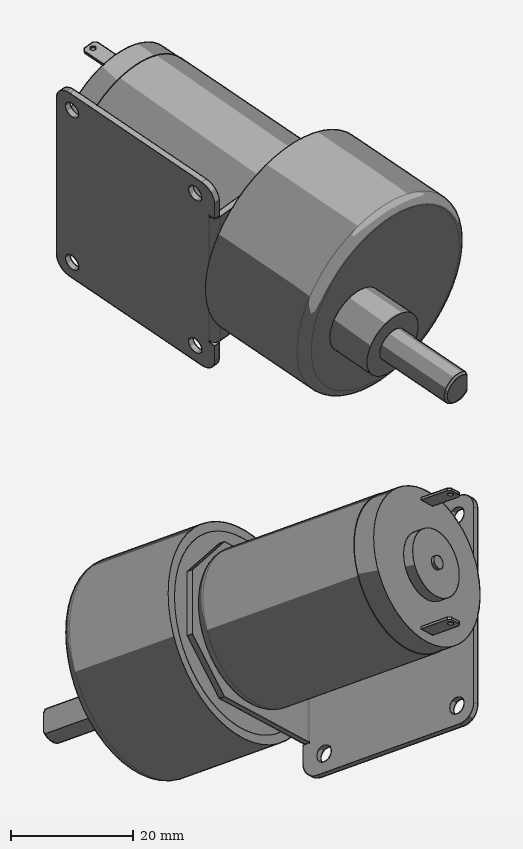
import cadquery as cq

GEARBOX_RADIUS = 19.0
GEARBOX_LENGTH = 22.5
GEARBOX_EDGE_FILLET = 1.6
COVER_RADIUS = 17.4
COVER_THICKNESS = 1.6
BOSS_RADIUS = 6.0
BOSS_LENGTH = 8.5

SHAFT_OFFSET_Y = -7.0
SHAFT_RADIUS = 3.0
SHAFT_EXPOSED_LENGTH = 15.0
SHAFT_ROUND_LENGTH = 3.0
SHAFT_FLAT_HEIGHT = 2.0
SHAFT_TIP_CHAMFER = 0.4

SHEET_THICKNESS = 1.1
BEND_RADIUS = 1.3
FLANGE_HALF_SIZE = 14.1
PLATE_OUTER_Y = -16.8
PLATE_LENGTH = 36.0
PLATE_HEIGHT = 41.6
PLATE_CORNER_RADIUS = 3.0
RELIEF_WIDTH = 0.3
HOLE_DIAMETER = 3.0
HOLE_EDGE_DISTANCE = 3.55
HOLE_SPACING_X = 28.0
HOLE_SPACING_Z = 34.6

MOTOR_REAR_X = -39.0
CAN_RADIUS = 13.8
CAN_FILLET = 2.0
CAP_RADIUS = 13.7
CAP_LENGTH = 4.1
HUB_RADIUS = 6.0
HUB_LENGTH = 1.9
SPINDLE_RADIUS = 1.2
SPINDLE_LENGTH = 0.55
TERMINAL_LENGTH = 6.0
TERMINAL_WIDTH = 3.0
TERMINAL_THICKNESS = 0.5
TERMINAL_OFFSET_Z = 11.7
TERMINAL_CHAMFER = 0.5
TERMINAL_HOLE_DIAMETER = 1.0
TERMINAL_HOLE_FROM_TIP = 1.0


def cylinder_x(start, length, radius, y=0):
    """A cylinder along +X starting at X = start."""
    return cq.Workplane("YZ", origin=(start, y, 0)).circle(radius).extrude(length)


def box(x_range, y_range, z_range):
    """A box between the given limits on each axis."""
    lows, highs = zip(x_range, y_range, z_range)
    size = [high - low for low, high in zip(lows, highs)]
    return cq.Workplane().box(*size, centered=False).translate(lows)


def make_housing():
    body = cylinder_x(0, GEARBOX_LENGTH, GEARBOX_RADIUS).faces(">X").edges().fillet(GEARBOX_EDGE_FILLET)
    body = body.union(cylinder_x(GEARBOX_LENGTH, BOSS_LENGTH, BOSS_RADIUS, SHAFT_OFFSET_Y))
    body = body.cut(cylinder_x(0, COVER_THICKNESS, COVER_RADIUS))
    bore_length = GEARBOX_LENGTH + BOSS_LENGTH
    return body.cut(cylinder_x(COVER_THICKNESS, bore_length, SHAFT_RADIUS, SHAFT_OFFSET_Y))


def make_cover():
    return cylinder_x(0, COVER_THICKNESS, COVER_RADIUS)


def make_shaft():
    boss_end = GEARBOX_LENGTH + BOSS_LENGTH
    tip = boss_end + SHAFT_EXPOSED_LENGTH
    shaft = cylinder_x(COVER_THICKNESS, tip - COVER_THICKNESS, SHAFT_RADIUS, SHAFT_OFFSET_Y)
    shaft = shaft.faces(">X").edges().chamfer(SHAFT_TIP_CHAMFER)
    flat = box(
        (boss_end + SHAFT_ROUND_LENGTH, tip),
        (SHAFT_OFFSET_Y + SHAFT_FLAT_HEIGHT, SHAFT_OFFSET_Y + SHAFT_RADIUS),
        (-SHAFT_RADIUS, SHAFT_RADIUS),
    )
    return shaft.cut(flat)


def make_flange_and_bend():
    """The octagonal-ended flange, joined to a bent strip that reaches the mounting plate."""
    corner = FLANGE_HALF_SIZE * (2**0.5 - 1)
    flange = (
        cq.Workplane("YZ", origin=(-SHEET_THICKNESS, 0, 0))
        .moveTo(PLATE_OUTER_Y + BEND_RADIUS, -FLANGE_HALF_SIZE)
        .lineTo(corner, -FLANGE_HALF_SIZE)
        .lineTo(FLANGE_HALF_SIZE, -corner)
        .lineTo(FLANGE_HALF_SIZE, corner)
        .lineTo(corner, FLANGE_HALF_SIZE)
        .lineTo(PLATE_OUTER_Y + BEND_RADIUS, FLANGE_HALF_SIZE)
        .close()
        .extrude(SHEET_THICKNESS)
    )
    bend_center = (-BEND_RADIUS, PLATE_OUTER_Y + BEND_RADIUS)
    bend_block = box(
        (-BEND_RADIUS, 0),
        (PLATE_OUTER_Y, PLATE_OUTER_Y + BEND_RADIUS),
        (-FLANGE_HALF_SIZE, FLANGE_HALF_SIZE),
    )
    ring = (
        cq.Workplane("XY", origin=(*bend_center, -FLANGE_HALF_SIZE))
        .circle(BEND_RADIUS)
        .circle(BEND_RADIUS - SHEET_THICKNESS)
        .extrude(2 * FLANGE_HALF_SIZE)
    )
    return flange.union(ring.intersect(bend_block))


def make_bracket():
    plate_y = (PLATE_OUTER_Y, PLATE_OUTER_Y + SHEET_THICKNESS)
    half_height = PLATE_HEIGHT / 2
    plate = box((-PLATE_LENGTH, 0), plate_y, (-half_height, half_height))
    plate = plate.edges("|Y").fillet(PLATE_CORNER_RADIUS)

    notch_half_height = FLANGE_HALF_SIZE + RELIEF_WIDTH
    plate = plate.cut(box((-BEND_RADIUS, 0), plate_y, (-notch_half_height, notch_half_height)))

    first_hole_x = HOLE_EDGE_DISTANCE - PLATE_LENGTH
    for x in (first_hole_x, first_hole_x + HOLE_SPACING_X):
        for z in (-HOLE_SPACING_Z / 2, HOLE_SPACING_Z / 2):
            hole = cq.Workplane("XZ", origin=(x, 0, z)).circle(HOLE_DIAMETER / 2).extrude(-PLATE_OUTER_Y)
            plate = plate.cut(hole)
    return plate.union(make_flange_and_bend())


def make_terminal(z):
    tip_x = MOTOR_REAR_X - TERMINAL_LENGTH
    blade = box(
        (tip_x, MOTOR_REAR_X),
        (-TERMINAL_WIDTH / 2, TERMINAL_WIDTH / 2),
        (-TERMINAL_THICKNESS / 2, TERMINAL_THICKNESS / 2),
    )
    blade = blade.faces("<X").edges("|Z").chamfer(TERMINAL_CHAMFER)
    hole = (
        cq.Workplane("XY", origin=(tip_x + TERMINAL_HOLE_FROM_TIP, 0, 0))
        .circle(TERMINAL_HOLE_DIAMETER / 2)
        .extrude(TERMINAL_THICKNESS, both=True)
    )
    return blade.cut(hole).translate((0, 0, z))


def make_motor():
    can_start = MOTOR_REAR_X + CAP_LENGTH
    can = cylinder_x(can_start, -SHEET_THICKNESS - can_start, CAN_RADIUS)
    can = can.faces(">X").edges().fillet(CAN_FILLET)
    motor = can.union(cylinder_x(MOTOR_REAR_X, CAP_LENGTH, CAP_RADIUS))
    motor = motor.union(cylinder_x(MOTOR_REAR_X - HUB_LENGTH, HUB_LENGTH, HUB_RADIUS))
    spindle_start = MOTOR_REAR_X - HUB_LENGTH - SPINDLE_LENGTH
    motor = motor.union(cylinder_x(spindle_start, SPINDLE_LENGTH, SPINDLE_RADIUS))
    for z in (-TERMINAL_OFFSET_Z, TERMINAL_OFFSET_Z):
        motor = motor.union(make_terminal(z))
    return motor


housing = make_housing()
cover = make_cover()
shaft = make_shaft()
bracket = make_bracket()
motor = make_motor()

result = cq.Compound.makeCompound(
    [housing.val(), cover.val(), shaft.val(), bracket.val(), motor.val()]
)